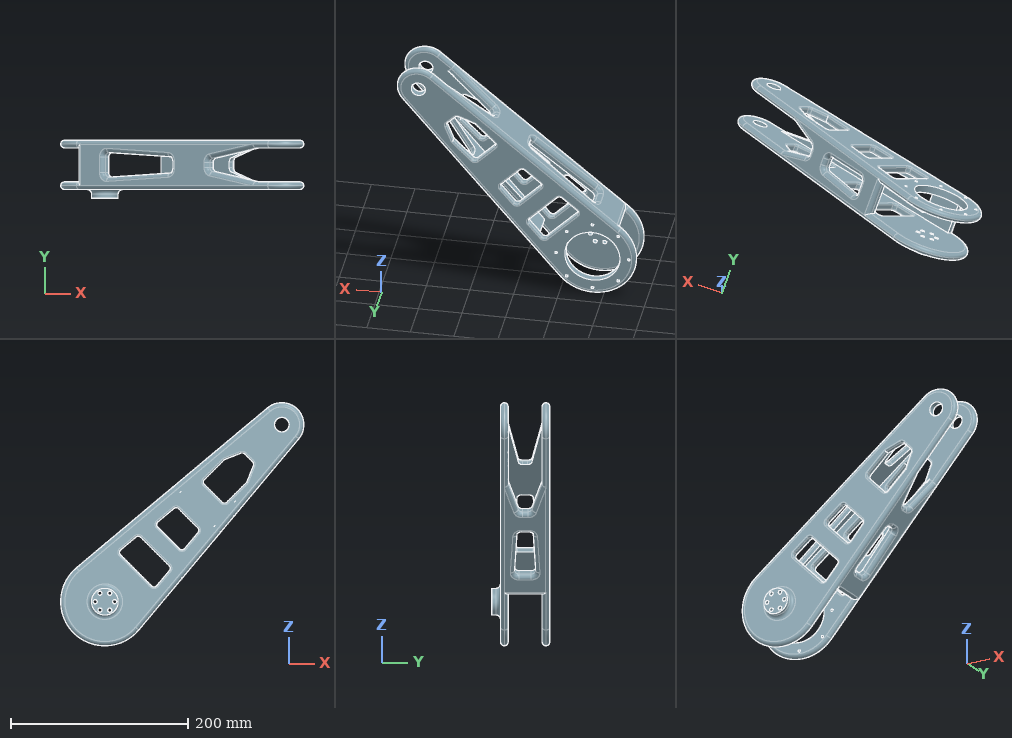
import cadquery as cq
import math


hub_radius = 50.0
tip_radius = 25.0
hub_to_tip_rise = 199.8
tilt_angle = 45.0
body_width = 56.0
plate_thickness = 9.0
web_thickness = 10.0
edge_round = 5.0

arm_length = hub_to_tip_rise / math.sin(math.radians(tilt_angle))
taper = math.asin((hub_radius - tip_radius) / arm_length)
half_width = body_width / 2
plate_inner_y = half_width - plate_thickness
plate_middle_y = half_width - plate_thickness / 2

window_corner_radius = 3.8
window_edge_round = 2.0
hub_window_margin = 16.8
middle_window_margin = 19.5
hub_window_span = (50.0, 80.0)
middle_window_span = (102.0, 133.0)
tip_window_start = 173.0
tip_window_shoulder = 208.5
tip_window_end = 229.5
tip_window_half_height = 17.9
tip_window_end_half_height = 8.8

web_corner_radius = 5.0
web_blank_half_width = 33.0
web_blank_overrun = 2.7
upper_web_start = 5.0
lower_web_start = 54.0
upper_window_span = (43.0, 142.5)
lower_window_span = (82.5, 145.0)
web_window_end_half_width = 8.8
web_window_flare = 0.052
upper_notch_start = 196.0
lower_notch_start = 173.7
notch_half_width = 7.0
upper_notch_flare = 0.18
lower_notch_flare = 0.3

boss_radius = 15.0
boss_height = 10.0
boss_fillet = 5.0
boss_hole_count = 6
boss_hole_circle = 11.0
boss_hole_diameter = 4.5
bore_radius = 31.5
bore_screw_count = 8
bore_screw_circle = 41.8
bore_screw_diameter = 2.7
pin_hole_diameter = 16.2


def arm_prism(y_min, y_max, inset=0.0):
    """Tangent two-circle outline, moved inwards by inset, between two Y levels."""
    hub = hub_radius - inset
    tip = tip_radius - inset
    hub_x = hub * math.sin(taper)
    hub_z = hub * math.cos(taper)
    tip_x = arm_length + tip * math.sin(taper)
    tip_z = tip * math.cos(taper)
    return (
        cq.Workplane("XZ", origin=(0, y_max, 0))
        .moveTo(hub_x, hub_z)
        .lineTo(tip_x, tip_z)
        .threePointArc((arm_length + tip, 0), (tip_x, -tip_z))
        .lineTo(hub_x, -hub_z)
        .threePointArc((-hub, 0), (hub_x, hub_z))
        .close()
        .extrude(y_max - y_min)
    )


def flank_height(station, inset):
    """Height of the arm's upper flank at a station, moved inwards by inset."""
    return (hub_radius - inset - station * math.sin(taper)) / math.cos(taper)


def mirrored_outline(upper_points):
    """Close a half outline, given from left to right, by mirroring it."""
    return upper_points + [(a, -b) for a, b in reversed(upper_points)]


def plate_window(upper_points, rounded_corners):
    """Through cutter for both plates, with the chosen corners rounded."""
    cutter = (
        cq.Workplane("XZ", origin=(0, half_width, 0))
        .polyline(mirrored_outline(upper_points))
        .close()
        .extrude(body_width)
    )
    tolerance = 0.3
    for station in rounded_corners:
        near_corner = cq.selectors.BoxSelector(
            (station - tolerance, -body_width, -hub_radius),
            (station + tolerance, body_width, hub_radius),
        )
        cutter = cutter.edges("|Y").edges(near_corner).fillet(window_corner_radius)
    return cutter


def tapered_window(span, margin):
    corners = [(station, flank_height(station, margin)) for station in span]
    return plate_window(corners, span)


def tip_window():
    upper_points = [
        (tip_window_start, tip_window_half_height),
        (tip_window_shoulder, tip_window_half_height),
        (tip_window_end, tip_window_end_half_height),
    ]
    return plate_window(upper_points, (tip_window_start, tip_window_end))


def front_plate():
    """Plate on the -Y side, rounded all around its rim, with its windows."""
    outer_rounded = arm_prism(-half_width, half_width).faces("<Y").edges().fillet(edge_round)
    inner_rounded = arm_prism(-body_width, -plate_inner_y).faces(">Y").edges().fillet(edge_round)
    plate = outer_rounded.intersect(inner_rounded)
    windows = (
        tapered_window(hub_window_span, hub_window_margin),
        tapered_window(middle_window_span, middle_window_margin),
        tip_window(),
    )
    for cutter in windows:
        plate = plate.cut(cutter)
    window_rims = [wire for face in plate.faces("<Y or >Y").vals() for wire in face.innerWires()]
    window_edges = [edge for wire in window_rims for edge in wire.Edges()]
    return plate.newObject(window_edges).fillet(window_edge_round)


def web_slab(start, end):
    """Oversized flat slab whose outer face follows the arm's upper flank."""
    return (
        cq.Workplane("XZ", origin=(0, web_blank_half_width, 0))
        .polyline([
            (start, flank_height(start, 0)),
            (end, flank_height(end, 0)),
            (end, flank_height(end, web_thickness)),
            (start, flank_height(start, web_thickness)),
        ])
        .close()
        .extrude(2 * web_blank_half_width)
    )


def web_cutter(upper_points, rounded_edges):
    """Vertical cutter, symmetric about the arm's middle plane, with rounded corners."""
    return (
        cq.Workplane("XY")
        .polyline(mirrored_outline(upper_points))
        .close()
        .extrude(2 * hub_radius)
        .edges(rounded_edges)
        .fillet(web_corner_radius)
    )


def web(start, window_span, notch_start, notch_flare):
    """Upper web with a tapered window and a V notch open towards the tip."""
    blank_end = arm_length + web_blank_overrun
    window_start, window_end = window_span
    window_flare = web_window_flare * (window_end - window_start)
    window = web_cutter(
        [
            (window_start, web_window_end_half_width + window_flare),
            (window_end, web_window_end_half_width),
        ],
        "|Z",
    )
    notch_end = blank_end + web_blank_overrun
    notch = web_cutter(
        [
            (notch_start, notch_half_width),
            (notch_end, notch_half_width + notch_flare * (notch_end - notch_start)),
        ],
        "|Z and <X",
    )
    panel = web_slab(start, blank_end).cut(window).cut(notch)

    outward = cq.Vector(math.sin(taper), 0, math.cos(taper))
    edge_clearance = 0.3
    free_edges = cq.selectors.BoxSelector(
        (start - edge_clearance, edge_clearance - web_blank_half_width, 0),
        (blank_end - edge_clearance, web_blank_half_width - edge_clearance, 2 * hub_radius),
    )
    outer_face = panel.faces(cq.selectors.DirectionNthSelector(outward, -1))
    panel = outer_face.edges(free_edges).fillet(edge_round)

    rounded_arm = arm_prism(-half_width, half_width).faces("<Y or >Y").edges().fillet(edge_round)
    between_plates = arm_prism(-plate_middle_y, plate_middle_y)
    return panel.intersect(rounded_arm).intersect(between_plates)


def round_holes(count, circle_radius, diameter, y_min, y_max):
    """Cutters parallel to Y on a circle around the hub centre."""
    return (
        cq.Workplane("XZ", origin=(0, y_max, 0))
        .polarArray(circle_radius, 0, 360, count)
        .circle(diameter / 2)
        .extrude(y_max - y_min)
    )


front = front_plate()
arm = front.union(front.mirror("XZ"))
upper_web = web(upper_web_start, upper_window_span, upper_notch_start, upper_notch_flare)
arm = arm.union(upper_web)
lower_web = web(lower_web_start, lower_window_span, lower_notch_start, lower_notch_flare)
arm = arm.union(lower_web.mirror("XY"))
pin_hole = (
    cq.Workplane("XZ", origin=(arm_length, half_width, 0))
    .circle(pin_hole_diameter / 2)
    .extrude(body_width)
)
arm = arm.cut(pin_hole)
arm = arm.rotate((0, 0, 0), (0, 1, 0), -tilt_angle)

boss = (
    cq.Workplane("XY")
    .moveTo(0, -half_width - boss_height)
    .lineTo(boss_radius, -half_width - boss_height)
    .lineTo(boss_radius, -half_width - boss_fillet)
    .radiusArc((boss_radius + boss_fillet, -half_width), boss_fillet)
    .lineTo(boss_radius + boss_fillet, -plate_middle_y)
    .lineTo(0, -plate_middle_y)
    .close()
    .revolve(360, (0, 0, 0), (0, 1, 0))
)
arm = arm.union(boss)
arm = arm.cut(round_holes(
    boss_hole_count, boss_hole_circle, boss_hole_diameter,
    -half_width - boss_height, -plate_inner_y,
))

bore = cq.Workplane("XZ", origin=(0, half_width, 0)).circle(bore_radius).extrude(plate_thickness)
arm = arm.cut(bore)
result = arm.cut(round_holes(
    bore_screw_count, bore_screw_circle, bore_screw_diameter, plate_inner_y, half_width,
))